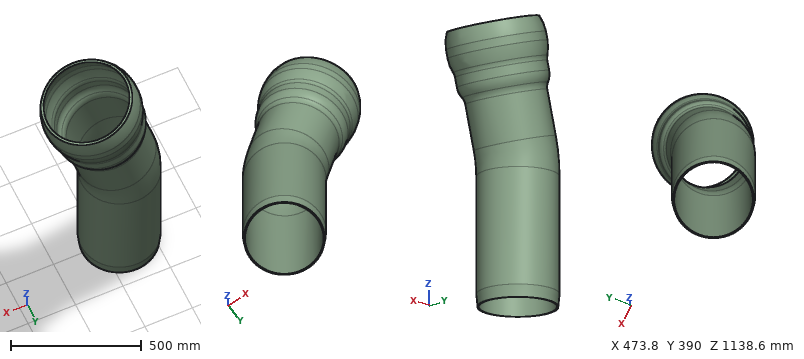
import cadquery as cq
import math

pipe_radius = 160.0
wall = 10.0
taper_length = 50.0
taper_depth = 5.0

bend_angle = 15.0
bend_radius = 500.0
lower_leg = 580.0
upper_leg = 530.0

collar_radius = 180.0
barrel_radius = 195.0
barrel_arc_radius = 150.0
shoulder_arc_radius = 80.0
fillet_arc_radius = 50.0

collar_length = 39.0
barrel_straight_length = 34.0
mouth_length = 65.0


def height_of_s_curve(convex_radius, concave_radius, step):
    """Axial length of two tangent arcs that change the radius by `step`."""
    centre_distance = convex_radius + concave_radius
    return math.sqrt(centre_distance**2 - (centre_distance - step) ** 2)


def arc_point(centre, arc_radius, angle):
    """Point of an arc at an angle (radians) measured from the outward radial direction."""
    return (
        centre[0] + arc_radius * math.cos(angle),
        centre[1] + arc_radius * math.sin(angle),
    )


shoulder_height = height_of_s_curve(shoulder_arc_radius, fillet_arc_radius, collar_radius - pipe_radius)
flare_height = height_of_s_curve(barrel_arc_radius, fillet_arc_radius, barrel_radius - collar_radius)

bend_setback = bend_radius * math.tan(math.radians(bend_angle / 2))
spigot_length = lower_leg - bend_setback

mouth_end = upper_leg - bend_setback
barrel_end = mouth_end - mouth_length
barrel_start = barrel_end - barrel_straight_length
collar_end = barrel_start - flare_height
collar_start = collar_end - collar_length
neck_length = collar_start - shoulder_height


def add_flare(profile, start, end, convex_radius, concave_radius):
    """Widen the profile from `start` to `end` by a concave arc and then a convex arc."""
    concave_centre = (start[0] + concave_radius, start[1])
    convex_centre = (end[0] - convex_radius, end[1])
    slope = math.asin((end[1] - start[1]) / (convex_radius + concave_radius))
    joint = arc_point(convex_centre, convex_radius, -slope)
    concave_middle = arc_point(concave_centre, concave_radius, math.pi - slope / 2)
    convex_middle = arc_point(convex_centre, convex_radius, -slope / 2)
    return profile.threePointArc(concave_middle, joint).threePointArc(convex_middle, end)


def make_spigot(inset):
    return cq.Workplane("XY").circle(pipe_radius - inset).extrude(spigot_length)


def make_bend(inset):
    return (
        cq.Workplane("XY", origin=(0, 0, spigot_length))
        .circle(pipe_radius - inset)
        .revolve(bend_angle, (bend_radius, 0), (bend_radius, 1))
    )


def make_socket(inset):
    """Neck and socket about the inclined axis, with every surface moved inward by `inset`."""
    pipe = pipe_radius - inset
    collar = collar_radius - inset
    barrel = barrel_radius - inset
    barrel_arc = barrel_arc_radius - inset
    shoulder_arc = shoulder_arc_radius - inset
    fillet_arc = fillet_arc_radius + inset

    mouth_centre = (barrel - barrel_arc, barrel_end)
    mouth_angle = math.asin(mouth_length / barrel_arc)

    profile = cq.Workplane("XZ").lineTo(pipe, 0).lineTo(pipe, neck_length)
    profile = add_flare(profile, (pipe, neck_length), (collar, collar_start), shoulder_arc, fillet_arc)
    profile = profile.lineTo(collar, collar_end)
    profile = add_flare(profile, (collar, collar_end), (barrel, barrel_start), barrel_arc, fillet_arc)
    profile = (
        profile.lineTo(barrel, barrel_end)
        .threePointArc(
            arc_point(mouth_centre, barrel_arc, mouth_angle / 2),
            arc_point(mouth_centre, barrel_arc, mouth_angle),
        )
        .lineTo(0, mouth_end)
        .close()
    )
    return (
        profile.revolve(360, (0, 0), (0, 1))
        .translate((0, 0, spigot_length))
        .rotate((bend_radius, 0, spigot_length), (bend_radius, 1, spigot_length), bend_angle)
    )


def make_body(inset):
    return make_spigot(inset).union(make_bend(inset)).union(make_socket(inset))


def taper_spigot_end(body):
    """Taper the outside of the spigot end so that it slides into the next socket."""
    tip_radius = pipe_radius - taper_depth
    cutter = (
        cq.Workplane("XZ")
        .moveTo(tip_radius, 0)
        .lineTo(pipe_radius, taper_length)
        .lineTo(pipe_radius + wall, taper_length)
        .lineTo(pipe_radius + wall, 0)
        .close()
        .revolve(360, (0, 0), (0, 1))
    )
    return body.cut(cutter)


outside = taper_spigot_end(make_body(0))
result = outside.cut(make_body(wall))